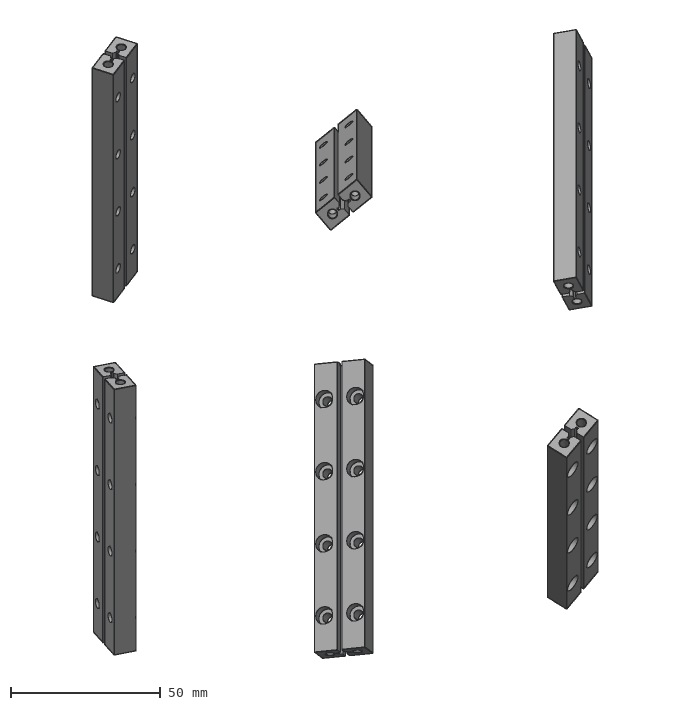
import cadquery as cq
import math

pair_width = 18.0
rail_length = 100.0
rail_thickness = 8.0
rail_gap = 1.5
edge_chamfer = 0.15

groove_mouth = 2.6
slot_width = 0.8
slot_floor_from_middle = 2.6

mount_count = 4
mount_pitch = 25.0
mount_diameter = 3.3
counterbore_diameter = 6.0
counterbore_depth = 3.2
mount_from_middle = 5.5

end_hole_diameter = 3.0
end_hole_mouth_diameter = 3.4
end_hole_depth = 6.0
drill_point_angle = 90.0

outer_y = pair_width / 2
inner_y = rail_gap / 2
rail_width = outer_y - inner_y
rail_middle_y = (outer_y + inner_y) / 2
vee_depth = (groove_mouth - slot_width) / 2
half_length = rail_length / 2
half_thickness = rail_thickness / 2


def rail_blank():
    """Bar on the +Y side, chamfered on all edges but the end edges of its inner face."""
    bar = cq.Workplane("XY").box(rail_thickness, rail_width, rail_length)
    bar = bar.translate((0, rail_middle_y, 0))
    return bar.edges("|Z or >Y or ((<Z or >Z) and |Y)").chamfer(edge_chamfer)


def running_groove():
    """Cutter for the vee groove and relief slot along the whole inner face."""
    half_mouth = groove_mouth / 2
    half_slot = slot_width / 2
    vee_root_y = inner_y + vee_depth
    return (
        cq.Workplane("XY", origin=(0, 0, -half_length))
        .polyline([
            (-half_mouth, inner_y),
            (-half_slot, vee_root_y),
            (-half_slot, slot_floor_from_middle),
            (half_slot, slot_floor_from_middle),
            (half_slot, vee_root_y),
            (half_mouth, inner_y),
        ])
        .close()
        .extrude(rail_length)
    )


def drill_mounting_holes(rail):
    """Through holes along X, counterbored from the -X face."""
    first_z = -mount_pitch * (mount_count - 1) / 2
    centres = [(-mount_from_middle, first_z + i * mount_pitch) for i in range(mount_count)]
    mounting_face = cq.Plane(origin=(-half_thickness, 0, 0), xDir=(0, -1, 0), normal=(-1, 0, 0))
    holes = cq.Workplane(mounting_face).pushPoints(centres)
    through = holes.circle(mount_diameter / 2).extrude(-rail_thickness)
    counterbores = holes.circle(counterbore_diameter / 2).extrude(-counterbore_depth)
    return rail.cut(through).cut(counterbores)


def drill_end_holes(rail):
    """Blind holes with a 45 degree countersunk mouth and a drill point in the top and bottom faces."""
    radius = end_hole_diameter / 2
    mouth_radius = end_hole_mouth_diameter / 2
    point_depth = radius / math.tan(math.radians(drill_point_angle / 2))
    top_hole = (
        cq.Workplane("XZ", origin=(0, rail_middle_y, half_length))
        .polyline([
            (0, 0),
            (mouth_radius, 0),
            (radius, radius - mouth_radius),
            (radius, -end_hole_depth),
            (0, -end_hole_depth - point_depth),
        ])
        .close()
        .revolve(360, (0, 0), (0, 1))
    )
    return rail.cut(top_hole).cut(top_hole.mirror("XY"))


def make_rail(side):
    """One rail; side is +1 for the +Y rail and -1 for its mirror image."""
    rail = rail_blank().cut(running_groove())
    rail = drill_mounting_holes(rail)
    rail = drill_end_holes(rail)
    return rail if side > 0 else rail.mirror("XZ")


rails = [make_rail(side) for side in (1, -1)]

result = cq.Compound.makeCompound([rail.val() for rail in rails])